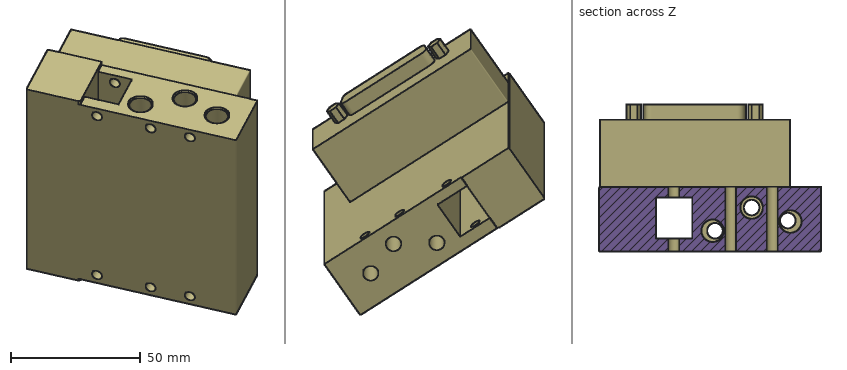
import cadquery as cq
import math

length = 86.0
plate_depth = 25.1
end_height = 91.5
end_length = 22.1
plate_bottom = 0.9
plate_top = 89.85
edge_round = 0.5
back_chamfer_length = 0.3
back_chamfer_depth = 0.7
step_chamfer_length = 0.8
step_chamfer_depth = 0.5

window_length = 13.9
window_front = 5.1
window_back = 20.9

port_centers = [(44.0, 8.05), (59.1, 17.0), (74.1, 11.6)]
passage_centers = [(44.9, 8.05), (59.1, 17.0), (73.1, 12.0)]
port_diameter = 8.6
port_chamfer = 0.55
port_depth = 13.7
passage_diameter = 5.95

screw_diameter = 4.1
screw_columns = [29.0, 51.0, 67.1]
screw_rows = [5.0, 86.0]

housing_left = 0.4
housing_right = 74.0
housing_bottom = 56.5
housing_top = 80.9
housing_back = 51.1

connector_back = 56.9
connector_x = 37.1
shell_bottom = 67.9
shell_height = 9.3
shell_bottom_width = 40.8
shell_side_angle = 10.0
shell_corner_radius = 2.6
standoff_spacing = 47.1
standoff_z = 71.2
standoff_corner_diameter = 5.8


def box_between(x_range, y_range, z_range):
    """Axis-aligned box given by its limits along X, Y and Z."""
    size = [high - low for low, high in (x_range, y_range, z_range)]
    corner = (x_range[0], y_range[0], z_range[0])
    return cq.Workplane("XY").box(*size, centered=False).translate(corner)


def back_plane(y):
    """Workplane at the given Y facing +Y, with local x along -X and local y along +Z."""
    return cq.Workplane(cq.Plane(origin=(0, y, 0), xDir=(-1, 0, 0), normal=(0, 1, 0)))


def make_end_block():
    block = box_between((0, end_length), (0, plate_depth), (0, end_height))
    block = block.edges("|Z and <X").edges("<Y").fillet(edge_round)
    block = block.edges("|Z and >Y").edges("<X").chamfer(back_chamfer_depth, back_chamfer_length)
    return block.edges("|Z and >X").edges("<Y").chamfer(step_chamfer_length, step_chamfer_depth)


def make_plate():
    plate = box_between((end_length / 2, length), (0, plate_depth), (plate_bottom, plate_top))
    plate = plate.edges("|Z and >X").edges("<Y").fillet(edge_round)
    window = box_between(
        (end_length, end_length + window_length), (window_front, window_back), (0, end_height)
    )
    return plate.cut(window)


def make_housing():
    housing = box_between(
        (housing_left, housing_right), (plate_depth, housing_back), (housing_bottom, housing_top)
    )
    return housing.edges("|Y").fillet(edge_round)


def make_shell():
    inset = shell_height * math.tan(math.radians(shell_side_angle))
    half_bottom = shell_bottom_width / 2
    half_top = half_bottom - inset
    shell_top = shell_bottom + shell_height
    outline = [
        (-connector_x - half_bottom, shell_bottom),
        (-connector_x + half_bottom, shell_bottom),
        (-connector_x + half_top, shell_top),
        (-connector_x - half_top, shell_top),
    ]
    shell = back_plane(housing_back).polyline(outline).close()
    return shell.extrude(connector_back - housing_back).edges("|Y").fillet(shell_corner_radius)


def make_standoffs():
    centers = [(-connector_x + side * standoff_spacing / 2, standoff_z) for side in (-1, 1)]
    standoffs = back_plane(housing_back).pushPoints(centers).polygon(6, standoff_corner_diameter)
    return standoffs.extrude(connector_back - housing_back)


def cut_ports(body):
    top = cq.Workplane("XY", origin=(0, 0, plate_top))
    ports = top.pushPoints(port_centers).circle(port_diameter / 2).extrude(-port_depth)
    mouth_diameter = port_diameter + 2 * port_chamfer
    mouths = top.pushPoints(port_centers).circle(mouth_diameter / 2).extrude(-port_chamfer, taper=45)
    passages = top.pushPoints(passage_centers).circle(passage_diameter / 2).extrude(-plate_top)
    return body.cut(ports).cut(mouths).cut(passages)


def cut_screw_holes(body):
    centers = [(-x, z) for x in screw_columns for z in screw_rows]
    holes = back_plane(0).pushPoints(centers).circle(screw_diameter / 2).extrude(plate_depth)
    return body.cut(holes)


body = make_end_block().union(make_plate())
body = cut_screw_holes(cut_ports(body))
result = body.union(make_housing()).union(make_shell()).union(make_standoffs())